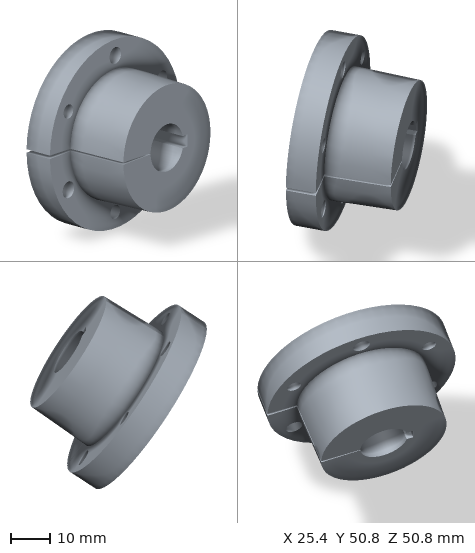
import cadquery as cq

flange_diameter = 50.8
flange_thickness = 7.9
total_length = 25.4

hub_base_diameter = 34.9
hub_end_diameter = 33.85

bore_diameter = 12.7
keyway_width = 3.25
keyway_reach = 7.9

bolt_circle_radius = 21.05
large_hole_diameter = 4.45
small_hole_diameter = 3.75
holes_per_set = 3
large_set_angle = 90.0
small_set_angle = large_set_angle + 180.0 / holes_per_set

slit_inner_width = 0.225
slit_outer_width = 0.9


def make_body():
    """Flange and tapered hub revolved about the X axis."""
    profile = [
        (0, 0),
        (0, flange_diameter / 2),
        (flange_thickness, flange_diameter / 2),
        (flange_thickness, hub_base_diameter / 2),
        (total_length, hub_end_diameter / 2),
        (total_length, 0),
    ]
    return cq.Workplane("XY").polyline(profile).close().revolve(360, (0, 0), (1, 0))


def make_bore():
    """Bore with its keyway on the +Y side."""
    bore = cq.Workplane("YZ").circle(bore_diameter / 2).extrude(total_length)
    keyway = (
        cq.Workplane("YZ")
        .center(keyway_reach / 2, 0)
        .rect(keyway_reach, keyway_width)
        .extrude(total_length)
    )
    return bore.union(keyway)


def make_slit():
    """Full-length wedge from inside the bore out to the rim."""
    inner_y = -bore_diameter / 2
    outer_y = -flange_diameter / 2
    outline = [
        (0, slit_inner_width / 2),
        (inner_y, slit_inner_width / 2),
        (outer_y, slit_outer_width / 2),
        (outer_y, -slit_outer_width / 2),
        (inner_y, -slit_inner_width / 2),
        (0, -slit_inner_width / 2),
    ]
    return cq.Workplane("YZ").polyline(outline).close().extrude(total_length)


def make_hole_set(diameter, start_angle):
    """Evenly spaced through holes on the bolt circle."""
    return (
        cq.Workplane("YZ")
        .polarArray(bolt_circle_radius, start_angle, 360, holes_per_set)
        .circle(diameter / 2)
        .extrude(flange_thickness)
    )


result = (
    make_body()
    .cut(make_bore())
    .cut(make_slit())
    .cut(make_hole_set(large_hole_diameter, large_set_angle))
    .cut(make_hole_set(small_hole_diameter, small_set_angle))
)